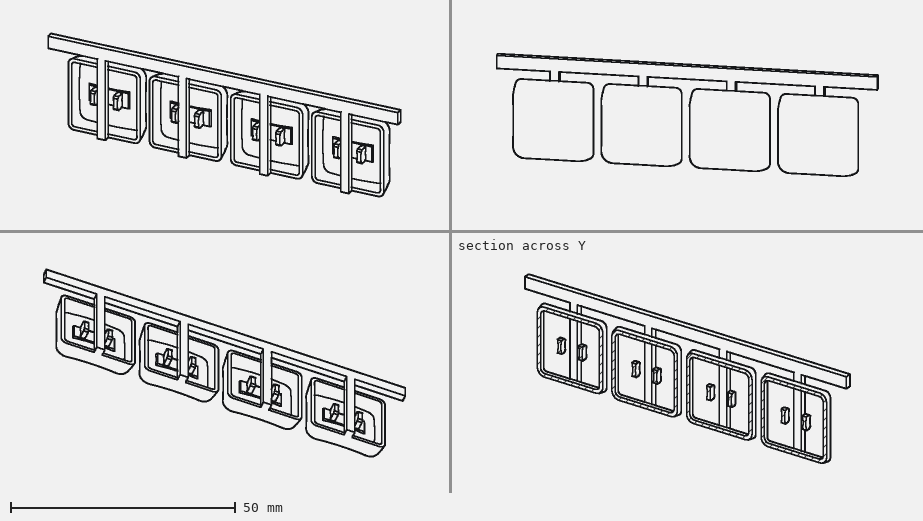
import cadquery as cq


bar_length = 86.4
bar_height = 3.0
sprue_thickness = 1.55
runner_width = 2.0
total_height = 22.9

cap_count = 4
cap_pitch = 20.0
cap_size = 17.8

outer_taper_x = 0.7
outer_taper_z = 1.9
bow_fraction = 0.25
rim_corner_radius = 1.5
top_corner_radius = 3.3
loft_depth = 5.2
dish_radius = 51.8
dish_bottom = 3.45
top_edge_fillet = 1.2

rim_width = 0.9
cavity_taper_x = 1.5
cavity_taper_z = 1.8
cavity_rim_radius = 0.8
cavity_roof_radius = 2.1
roof_thickness = 1.0

pad_width = 9.7
pad_height = 3.8
pad_draft = 25.0
pad_thickness = 0.2
prong_width = 1.1
prong_height = 3.45
prong_spacing = 5.7
prong_length = 2.4
prong_waist = 0.13
prong_end_land = 0.4
prong_tip_chamfer = 0.4

cavity_size = cap_size - 2 * rim_width
cavity_depth = dish_bottom - roof_thickness
pad_face = cavity_depth - pad_thickness
mount_root = dish_bottom - roof_thickness / 2


def back_plane(depth):
    """Plane at the given depth behind the rims, with local x = X, y = Z and its normal along -Y."""
    return cq.Workplane("XZ", origin=(0, depth, 0))


def section(size, narrowing_x, narrowing_z, radius, depth):
    """Rounded outline at the given depth, narrowed from a square of the given size."""
    outline = cq.Sketch().rect(size - narrowing_x, size - narrowing_z).vertices().fillet(radius)
    return outline.moved(cq.Location(cq.Vector(0, 0, -depth)))


def outer_block():
    rim = section(cap_size, 0, 0, rim_corner_radius, 0)
    middle = section(
        cap_size,
        bow_fraction * outer_taper_x,
        bow_fraction * outer_taper_z,
        (rim_corner_radius + top_corner_radius) / 2,
        loft_depth / 2,
    )
    end = section(cap_size, outer_taper_x, outer_taper_z, top_corner_radius, loft_depth)
    return back_plane(0).placeSketch(rim, middle, end).loft()


def cavity_block():
    rim = section(cavity_size, 0, 0, cavity_rim_radius, 0)
    end = section(cavity_size, cavity_taper_x, cavity_taper_z, cavity_roof_radius, loft_depth)
    return back_plane(0).placeSketch(rim, end).loft(ruled=True)


def dish_ball(bottom):
    """Large ball whose nearest point to the rims lies at the given depth."""
    return cq.Workplane("XY").sphere(dish_radius).translate((0, bottom + dish_radius, 0))


def cap_shell():
    outside = outer_block().cut(dish_ball(dish_bottom))
    outside = outside.faces(">Y").edges().fillet(top_edge_fillet)
    cavity = cavity_block().cut(dish_ball(cavity_depth))
    return outside.cut(cavity)


def prong():
    half_width = prong_width / 2
    half_height = prong_height / 2
    land_end = half_height - prong_end_land
    waist = half_width - prong_waist
    return (
        back_plane(mount_root)
        .moveTo(half_width, land_end)
        .lineTo(half_width, half_height)
        .lineTo(-half_width, half_height)
        .lineTo(-half_width, land_end)
        .threePointArc((-waist, 0), (-half_width, -land_end))
        .lineTo(-half_width, -half_height)
        .lineTo(half_width, -half_height)
        .lineTo(half_width, -land_end)
        .threePointArc((waist, 0), (half_width, land_end))
        .close()
        .extrude(mount_root - pad_face + prong_length)
        .faces("<Y")
        .edges("|X")
        .chamfer(prong_tip_chamfer)
    )


def switch_mount():
    mount = (
        back_plane(pad_face)
        .rect(pad_width, pad_height)
        .extrude(pad_face - mount_root, taper=-pad_draft)
    )
    for side in (-1, 1):
        mount = mount.union(prong().translate((side * prong_spacing / 2, 0, 0)))
    return mount


def sprue_bar(width, height):
    """Flat sprue piece in front of the rim plane, hanging down from the common top edge."""
    top_edge = total_height - cap_size / 2
    piece = cq.Workplane("XY").box(width, sprue_thickness, height, centered=(True, False, False))
    return piece.translate((0, -sprue_thickness, top_edge - height))


cap = cap_shell().union(switch_mount()).union(sprue_bar(runner_width, total_height))

result = sprue_bar(bar_length, bar_height)
for index in range(cap_count):
    cap_x = (index - (cap_count - 1) / 2) * cap_pitch
    result = result.union(cap.translate((cap_x, 0, 0)))